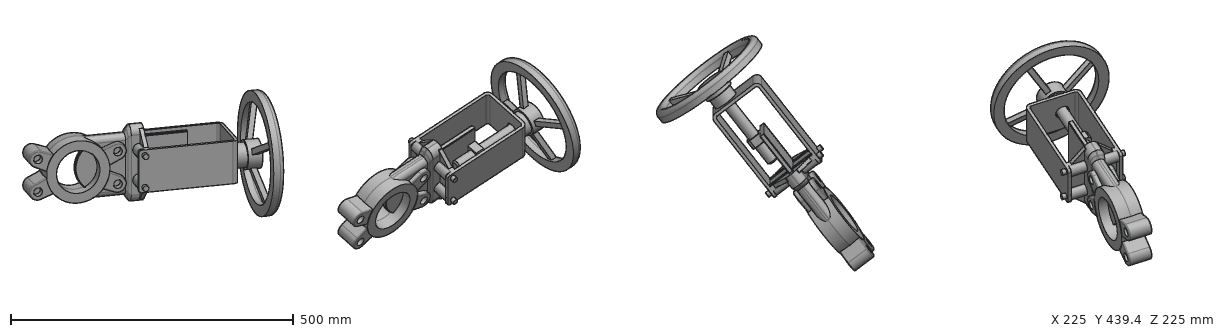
import cadquery as cq
import math


bore_radius = 40.0
ring_face_radius = 58.5
ring_crown_radius = 59.5
ring_width = 46.5

bolt_circle_radius = 80.0
bolt_angle = 22.5
lug_tip_radius = 16.0
lug_taper = 2.5
lug_root_distance = 43.0
lug_width = 44.0
lug_edge_fillet = 1.8
bolt_hole_radius = 8.0
bolt_hole_depth = 13.0

neck_width = 25.5
neck_height = 114.5
neck_corner_radius = 10.5

box_width = 31.5
box_height = 143.0
box_corner_radius = 15.5
box_shoulder_y = 100.0
box_waist_y = 94.5
box_foot_y = 90.5
box_top_y = 123.8
waist_width = 28.5
waist_height = 129.0
waist_corner_radius = 13.0

yoke_width = 106.0
yoke_height = 80.0
yoke_thickness = 6.0
yoke_top_y = 288.0
yoke_bottom_y = 102.5
yoke_bend_radius = 11.0
yoke_corner_radius = 5.3
yoke_hole_radius = 13.0
yoke_inner_half = yoke_width / 2 - yoke_thickness

bracket_thickness = 8.0
bracket_peak_half_width = 13.0
bracket_peak_z = 66.3
bracket_corner_x = 40.5
bracket_half_height = yoke_height / 2
bracket_bottom_y = box_top_y - bracket_thickness

spacer_radius = 11.5
spacer_z = bracket_half_height - spacer_radius
screw_radius = 5.3
screw_length = 122.0
screw_y = 113.5
screw_z = 30.0

gate_thickness = 9.0
gate_half_width = 49.5
gate_top_y = 207.5
gate_edge_chamfer = 1.5

stem_x = 18.5
stem_radius = 11.0
stem_bottom_y = 150.0
stem_chamfer = 3.0

nut_height = 17.0
nut_chamfer = 5.3
nut_far_x = 33.0
nut_near_x = gate_thickness / 2
nut_half_depth = 14.5

bush_radius = 23.0
bush_top_y = 307.5
hub_radius = 26.8
hub_top_y = 334.5

rim_outer_radius = 112.5
rim_inner_radius = 92.0
rim_bottom_y = 328.7
rim_top_y = 349.5
rim_edge_radius = 8.5

spoke_count = 4
first_spoke_angle = 28
spoke_width = 11.0
spoke_depth = 11.0
spoke_root_y = 315.0
spoke_rise = 0.27


def disc(x, z, radius, y_low, y_high):
    """Cylinder along Y."""
    return cq.Workplane("XZ", origin=(x, y_low, z)).circle(radius).extrude(y_low - y_high)


def rod(y, z, radius, length):
    """Cylinder along X, centred on X = 0."""
    return cq.Workplane("YZ").center(y, z).circle(radius).extrude(length / 2, both=True)


def rounded_face(width, height, corner_radius, y):
    """Rectangle with rounded corners, lying across Y."""
    sketch = cq.Sketch().rect(width, height).vertices().fillet(corner_radius)
    return cq.Workplane("XZ", origin=(0, y, 0)).placeSketch(sketch)


def rounded_loft(lower, upper):
    """Straight loft between two rounded rectangles given as (width, height, radius, y)."""
    sketches = []
    for width, height, corner_radius, _ in (lower, upper):
        sketches.append(cq.Sketch().rect(width, height).vertices().fillet(corner_radius))
    lower_y, upper_y = lower[3], upper[3]
    sketches[1] = sketches[1].moved(cq.Location(cq.Vector(0, 0, lower_y - upper_y)))
    return cq.Workplane("XZ", origin=(0, lower_y, 0)).placeSketch(*sketches).loft(ruled=True)


def make_ring():
    half = ring_width / 2
    profile = [(-half, 0), (half, 0), (half, ring_face_radius), (0, ring_crown_radius), (-half, ring_face_radius)]
    return cq.Workplane("XY").polyline(profile).close().revolve(360, (0, 0, 0), (1, 0, 0))


def make_lug(angle):
    """Tapered bolt lug with a round tip, pointing at the given angle from +Y towards +Z."""
    taper = math.radians(lug_taper)
    tangent_y = bolt_circle_radius + lug_tip_radius * math.sin(taper)
    tangent_z = lug_tip_radius * math.cos(taper)
    root_z = tangent_z + (tangent_y - lug_root_distance) * math.tan(taper)
    lug = (
        cq.Workplane("YZ")
        .moveTo(lug_root_distance, -root_z)
        .lineTo(tangent_y, -tangent_z)
        .threePointArc((bolt_circle_radius + lug_tip_radius, 0), (tangent_y, tangent_z))
        .lineTo(lug_root_distance, root_z)
        .close()
        .extrude(lug_width / 2, both=True)
        .faces("<X or >X")
        .edges()
        .fillet(lug_edge_fillet)
    )
    return lug.rotate((0, 0, 0), (1, 0, 0), angle)


def make_bolt_holes(angle):
    """Pair of blind holes, one from each side of a lug."""
    y = bolt_circle_radius * math.cos(math.radians(angle))
    z = bolt_circle_radius * math.sin(math.radians(angle))
    web = lug_width - 2 * bolt_hole_depth
    return rod(y, z, bolt_hole_radius, lug_width).cut(rod(y, z, bolt_hole_radius, web))


def make_gland_box():
    neck_size = (neck_width, neck_height, neck_corner_radius)
    waist = (waist_width, waist_height, waist_corner_radius, box_waist_y)
    shoulder = (box_width, box_height, box_corner_radius, box_shoulder_y)
    neck = rounded_face(*neck_size, 0).extrude(-box_foot_y)
    box = rounded_face(*shoulder).extrude(box_shoulder_y - box_top_y)
    lower_flare = rounded_loft((*neck_size, box_foot_y), waist)
    upper_flare = rounded_loft(waist, shoulder)
    return neck.union(lower_flare).union(upper_flare).union(box)


def make_bracket():
    """Plate that joins the gland box to both legs of the yoke."""
    quarter = [
        (bracket_peak_half_width, bracket_peak_z),
        (bracket_corner_x, bracket_half_height),
        (yoke_inner_half, bracket_half_height),
    ]
    right_side = quarter + [(x, -z) for x, z in reversed(quarter)]
    left_side = [(-x, -z) for x, z in right_side]
    return (
        cq.Workplane("XZ", origin=(0, bracket_bottom_y, 0))
        .polyline(right_side + left_side)
        .close()
        .extrude(-bracket_thickness)
    )


def make_spacer(side):
    """Round-bottomed bar under the bracket that spans between the yoke legs."""
    centre_y = yoke_bottom_y + spacer_radius
    z = side * spacer_z
    length = 2 * yoke_inner_half
    riser_height = bracket_bottom_y - centre_y
    riser = cq.Workplane("XY").box(length, riser_height, 2 * spacer_radius)
    riser = riser.translate((0, centre_y + riser_height / 2, z))
    return rod(centre_y, z, spacer_radius, length).union(riser)


def make_yoke():
    """Bent strap: a cross plate with two legs, drilled for the stem."""
    leg = yoke_top_y - yoke_bottom_y
    middle_y = (yoke_top_y + yoke_bottom_y) / 2
    outer = cq.Workplane("XY").box(yoke_width, leg, yoke_height)
    outer = outer.edges("|Z and >Y").fillet(yoke_bend_radius)
    outer = outer.edges("|X and <Y").fillet(yoke_corner_radius)
    inner = cq.Workplane("XY").box(2 * yoke_inner_half, leg, yoke_height)
    inner = inner.edges("|Z and >Y").fillet(yoke_bend_radius - yoke_thickness)
    strap = outer.cut(inner.translate((0, -yoke_thickness, 0))).translate((0, middle_y, 0))
    stem_hole = disc(stem_x, 0, yoke_hole_radius, yoke_top_y - yoke_thickness, yoke_top_y)
    return strap.cut(stem_hole)


def make_gate():
    """Flat blade with a semicircular cutting edge."""
    return (
        cq.Workplane("YZ")
        .moveTo(gate_top_y, -gate_half_width)
        .lineTo(gate_half_width, -gate_half_width)
        .threePointArc((0, 0), (gate_half_width, gate_half_width))
        .lineTo(gate_top_y, gate_half_width)
        .close()
        .extrude(gate_thickness / 2, both=True)
        .faces("<X or >X")
        .edges("not >Y")
        .chamfer(gate_edge_chamfer)
    )


def make_housing(gate):
    """Valve body with bracket, yoke and screws, slotted for the gate."""
    housing = make_ring().union(make_gland_box()).union(make_bracket()).union(make_yoke())
    lug_angles = (bolt_angle, -bolt_angle, 180 - bolt_angle, 180 + bolt_angle)
    for angle in lug_angles:
        housing = housing.union(make_lug(angle))
    for side in (-1, 1):
        housing = housing.union(make_spacer(side))
        housing = housing.union(rod(screw_y, side * screw_z, screw_radius, screw_length))
    for angle in lug_angles:
        housing = housing.cut(make_bolt_holes(angle))
    return housing.cut(rod(0, 0, bore_radius, ring_width)).cut(gate)


def make_stem():
    stem = disc(stem_x, 0, stem_radius, stem_bottom_y, bush_top_y)
    return stem.faces("<Y").chamfer(stem_chamfer)


def make_nut():
    """Block on the gate that the stem screws into."""
    length = nut_far_x - nut_near_x
    block = cq.Workplane("XY").box(length, nut_height, 2 * nut_half_depth)
    block = block.edges("|Y and >X").chamfer(nut_chamfer)
    return block.translate((nut_near_x + length / 2, gate_top_y - nut_height / 2, 0))


def make_spoke(angle):
    """Bar that rises from the hub into the rim."""
    end_radius = rim_inner_radius + 4.5
    drop = spoke_rise * hub_radius
    end_y = spoke_root_y + spoke_rise * end_radius - drop
    start_y = spoke_root_y - drop
    outline = [
        (0, start_y),
        (end_radius, end_y),
        (end_radius, end_y + spoke_depth),
        (0, start_y + spoke_depth),
    ]
    spoke = cq.Workplane("XY").polyline(outline).close().extrude(spoke_width / 2, both=True)
    return spoke.rotate((0, 0, 0), (0, 1, 0), -angle).translate((stem_x, 0, 0))


def make_handwheel():
    rim = disc(stem_x, 0, rim_outer_radius, rim_bottom_y, rim_top_y)
    rim = rim.cut(disc(stem_x, 0, rim_inner_radius, rim_bottom_y, rim_top_y))
    rim = rim.faces(">Y").edges().fillet(rim_edge_radius)
    wheel = rim.union(disc(stem_x, 0, hub_radius, bush_top_y, hub_top_y))
    for index in range(spoke_count):
        wheel = wheel.union(make_spoke(first_spoke_angle + index * 360 / spoke_count))
    return wheel


def make_drive(gate):
    """Moving train: handwheel, bush, stem, nut and gate."""
    bush = disc(stem_x, 0, bush_radius, yoke_top_y, bush_top_y)
    return make_stem().union(bush).union(make_handwheel()).union(make_nut()).union(gate)


gate = make_gate()
housing = make_housing(gate)
drive = make_drive(gate)

result = cq.Compound.makeCompound([*housing.solids().vals(), *drive.solids().vals()])